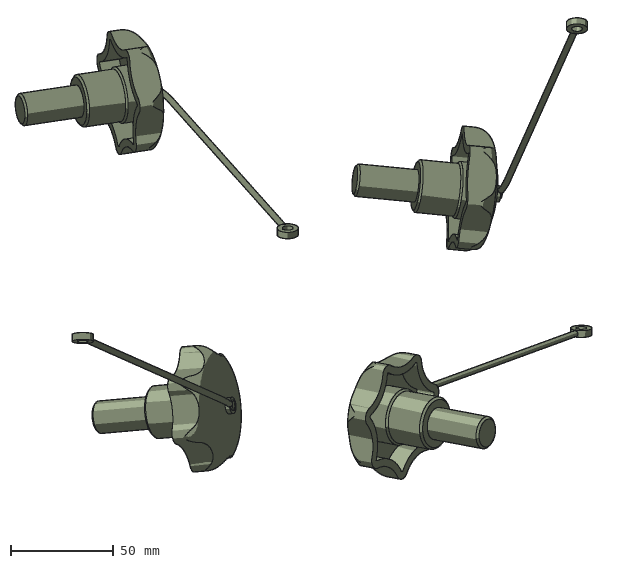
import math

import cadquery as cq


LOBES = 7
TIP_RADIUS = 31.5
TIP_ROUND = 4.8
SCALLOP_DEPTH_RADIUS = 25.5
DOME_HEIGHT = 18.9
DOME_EDGE_RADIUS = 22.5
DOME_EDGE_HEIGHT = 15.0
SHOULDER_END_HEIGHT = 5.5
WALL = 4.0
POCKET_DEPTH = 10.5

COLLAR_DIAMETER = 28.0
HUB_DIAMETER = 26.0
HUB_LENGTH = 20.8
HUB_CHAMFER = 1.0
SHAFT_DIAMETER = 16.0
SHAFT_END = 51.2
SHAFT_CHAMFER = 1.0

BUTTON_DIAMETER = 8.0
BUTTON_TOP = 21.0
STUD_DIAMETER = 5.2
STUD_TOP = 21.7
CORD_DIAMETER = 3.0
CORD_HEIGHT = 22.0
CORD_BEND_X = 15.0
CORD_START_X = 3.7
CORD_START_HEIGHT = 21.0
EYE_DIAMETER = 10.5
EYE_HOLE = 5.2
EYE_THICKNESS = 3.5
OVERALL_LENGTH = 216.8

HALF_PITCH = math.pi / LOBES
TIP_CENTRE_RADIUS = TIP_RADIUS - TIP_ROUND
FIRST_TIP = -math.pi / 2
KNOB_LEFT = TIP_CENTRE_RADIUS * math.cos(HALF_PITCH / 2) + TIP_ROUND
CORD_RUN = CORD_BEND_X - CORD_START_X
CORD_RISE = CORD_HEIGHT - CORD_START_HEIGHT
CORD_START_SLOPE = 2 * math.atan2(CORD_RISE, CORD_RUN)
EYE_X = OVERALL_LENGTH - KNOB_LEFT - EYE_DIAMETER / 2


def polar(radius, angle):
    return radius * math.cos(angle), radius * math.sin(angle)


def star_prism(inset, height):
    """Scalloped prism from Y = 0 to Y = height, set in from the outer outline."""
    across = TIP_CENTRE_RADIUS * math.sin(HALF_PITCH)
    along = SCALLOP_DEPTH_RADIUS - TIP_CENTRE_RADIUS * math.cos(HALF_PITCH)
    scallop = (across**2 + along**2 - TIP_ROUND**2) / (2 * (TIP_ROUND - along))
    contact = math.asin(across / (scallop + TIP_ROUND))
    tip_round = TIP_ROUND - inset

    def tip_point(tip_angle, turn):
        centre = polar(TIP_CENTRE_RADIUS, tip_angle)
        offset = polar(tip_round, tip_angle + turn)
        return centre[0] + offset[0], centre[1] + offset[1]

    spread = contact + HALF_PITCH
    outline = cq.Workplane("XZ").moveTo(*tip_point(FIRST_TIP, -spread))
    for lobe in range(LOBES):
        tip = FIRST_TIP + 2 * HALF_PITCH * lobe
        next_tip = tip + 2 * HALF_PITCH
        outline = outline.threePointArc(tip_point(tip, 0), tip_point(tip, spread))
        valley = polar(SCALLOP_DEPTH_RADIUS - inset, tip + HALF_PITCH)
        outline = outline.threePointArc(valley, tip_point(next_tip, -spread))
    return outline.close().extrude(-height)


def domed_blank():
    """Round blank with a shallow dome and a rounded shoulder."""
    drop = DOME_HEIGHT - DOME_EDGE_HEIGHT
    sphere = (DOME_EDGE_RADIUS**2 + drop**2) / (2 * drop)
    mid_radius = DOME_EDGE_RADIUS / 2
    mid_height = DOME_HEIGHT - sphere + math.sqrt(sphere**2 - mid_radius**2)
    return (
        cq.Workplane("XY")
        .lineTo(TIP_RADIUS, 0)
        .lineTo(TIP_RADIUS, SHOULDER_END_HEIGHT)
        .tangentArcPoint((DOME_EDGE_RADIUS, DOME_EDGE_HEIGHT), relative=False)
        .threePointArc((mid_radius, mid_height), (0, DOME_HEIGHT))
        .close()
        .revolve(360, (0, 0), (0, 1))
    )


def hub_and_shaft():
    """Stepped round core from the pocket floor to the shaft end."""
    collar = COLLAR_DIAMETER / 2
    hub = HUB_DIAMETER / 2
    shaft = SHAFT_DIAMETER / 2
    return (
        cq.Workplane("XY")
        .moveTo(0, POCKET_DEPTH)
        .lineTo(collar, POCKET_DEPTH)
        .lineTo(collar, 0)
        .lineTo(hub, hub - collar)
        .lineTo(hub, HUB_CHAMFER - HUB_LENGTH)
        .lineTo(hub - HUB_CHAMFER, -HUB_LENGTH)
        .lineTo(shaft, -HUB_LENGTH)
        .lineTo(shaft, SHAFT_CHAMFER - SHAFT_END)
        .lineTo(shaft - SHAFT_CHAMFER, -SHAFT_END)
        .lineTo(0, -SHAFT_END)
        .close()
        .revolve(360, (0, 0), (0, 1))
    )


def button():
    """Round button standing on the crown of the dome."""
    base = DOME_EDGE_HEIGHT
    return (
        cq.Workplane("XZ", origin=(0, base, 0))
        .circle(BUTTON_DIAMETER / 2)
        .extrude(base - BUTTON_TOP)
    )


def along_slope():
    """Unit vector along the cord where it leaves the button."""
    return cq.Vector(math.cos(CORD_START_SLOPE), math.sin(CORD_START_SLOPE), 0)


def stud():
    """Short stud on the button, its top face tilted to the starting slope of the cord."""
    slope = along_slope()
    axis = cq.Vector(0, 0, 1).cross(slope)
    top = cq.Plane(origin=(0, STUD_TOP, 0), xDir=slope, normal=axis)
    return cq.Workplane(top).circle(STUD_DIAMETER / 2).extrude(DOME_EDGE_HEIGHT - STUD_TOP)


def cord():
    """Cord curving up from the button, then running straight to the end eye."""
    path = (
        cq.Workplane("XY")
        .moveTo(EYE_X, CORD_HEIGHT)
        .lineTo(CORD_BEND_X, CORD_HEIGHT)
        .tangentArcPoint((CORD_START_X, CORD_START_HEIGHT), relative=False)
    )
    far_end = cq.Workplane("YZ", origin=(EYE_X, CORD_HEIGHT, 0))
    return far_end.circle(CORD_DIAMETER / 2).sweep(path)


def eye(diameter):
    """Disc of the end eye, or its hole, with its axis along Z."""
    return (
        cq.Workplane("XY", origin=(EYE_X, CORD_HEIGHT, -EYE_THICKNESS / 2))
        .circle(diameter / 2)
        .extrude(EYE_THICKNESS)
    )


head = domed_blank().intersect(star_prism(0, DOME_HEIGHT))
head = head.cut(star_prism(WALL, POCKET_DEPTH))
tether = cord().union(eye(EYE_DIAMETER)).cut(eye(EYE_HOLE))
result = head.union(hub_and_shaft()).union(button()).union(stud()).union(tether)